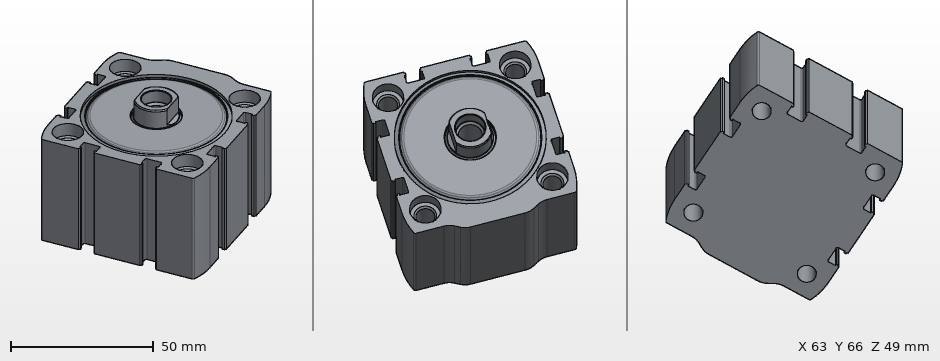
import cadquery as cq
import math

WIDTH = 63.0
HALF_WIDTH = WIDTH / 2
BODY_HEIGHT = 42.0

SIDE_FLAT_HALF = 22.2
CORNER_X = 29.6
CORNER_RADIUS = 0.8

BUMP_HEIGHT = 3.0
BUMP_FLAT_HALF = 9.95
BUMP_BEND_RADIUS = 7.0
BUMP_SLOPE = math.radians(30)

SLOT_OFFSET = 12.0
SLOT_MOUTH = 5.2
SLOT_INNER = 6.5
SLOT_DEPTH = 4.6
SLOT_LIP = 1.4
SLOT_LIP_RADIUS = 0.5
SLOT_INNER_RADIUS = 0.5

MOUNT_OFFSET = 23.2
MOUNT_DIAMETER = 6.65
MOUNT_SINK_DIAMETER = 8.0
MOUNT_BORE_DIAMETER = 11.0
MOUNT_BORE_DEPTH = 5.0

GROOVE_RADIUS = 53.3 / 2
GROOVE_DEPTH = 1.2
RING_TOP_RADIUS = 25.15
RING_TOP_DEPTH = 0.25
CAP_SEAM_RADIUS = 50.0 / 2
CAP_FOOT_RADIUS = 24.75
CAP_SEAM_DEPTH = 0.8
CAP_EDGE_RADIUS = 24.1
CAP_EDGE_DEPTH = 0.3
CAP_FLAT_RADIUS = 23.3

WIPER_RADIUS = 18.1 / 2
WIPER_CHAMFER = 0.1
WIPER_DEPTH = 1.05
WIPER_FOOT_RADIUS = 8.85
WIPER_TIP_RADIUS = 8.2
WIPER_TIP_DEPTH = 0.3

ROD_DIAMETER = 16.0
ROD_RADIUS = ROD_DIAMETER / 2
ROD_PROJECTION = 7.0
ROD_INSERTION = 29.7
ROD_TOP = BODY_HEIGHT + ROD_PROJECTION
ROD_BOTTOM = BODY_HEIGHT - ROD_INSERTION
ROD_CHAMFER_HEIGHT = 0.5
ROD_CHAMFER_WIDTH = 0.3

FLAT_HALF = 6.5
FLAT_LENGTH = 6.5
FLAT_LEDGE_SLOPE = math.radians(30)

SOCKET_MOUTH_DIAMETER = 11.0
SOCKET_DIAMETER = 10.5
SOCKET_SEAT_DIAMETER = 10.0
SOCKET_DEPTH = 4.75
THREAD_DIAMETER = 8.4
THREAD_DEPTH = 19.8
DRILL_TIP_SLOPE = math.radians(30)


def arc_radius(along, across):
    """Radius of an arc that leaves a line tangentially and ends at this distance along and across it."""
    return (along ** 2 + across ** 2) / (2 * across)


def block():
    """Extruded outline with bowed X sides and the raised pad on +Y."""
    side_radius = arc_radius(HALF_WIDTH - SIDE_FLAT_HALF, HALF_WIDTH - CORNER_X)
    bend_x = BUMP_BEND_RADIUS * math.sin(BUMP_SLOPE)
    bend_y = BUMP_BEND_RADIUS * (1 - math.cos(BUMP_SLOPE))
    ramp_x = (BUMP_HEIGHT - 2 * bend_y) / math.tan(BUMP_SLOPE)
    pad_y = HALF_WIDTH + BUMP_HEIGHT
    pad_foot = BUMP_FLAT_HALF + 2 * bend_x + ramp_x

    outline = (
        cq.Workplane("XY")
        .moveTo(CORNER_X, -HALF_WIDTH)
        .radiusArc((HALF_WIDTH, -SIDE_FLAT_HALF), -side_radius)
        .lineTo(HALF_WIDTH, SIDE_FLAT_HALF)
        .radiusArc((CORNER_X, HALF_WIDTH), -side_radius)
        .lineTo(pad_foot, HALF_WIDTH)
        .radiusArc((pad_foot - bend_x, HALF_WIDTH + bend_y), BUMP_BEND_RADIUS)
        .lineTo(BUMP_FLAT_HALF + bend_x, pad_y - bend_y)
        .radiusArc((BUMP_FLAT_HALF, pad_y), -BUMP_BEND_RADIUS)
        .lineTo(-BUMP_FLAT_HALF, pad_y)
        .radiusArc((-BUMP_FLAT_HALF - bend_x, pad_y - bend_y), -BUMP_BEND_RADIUS)
        .lineTo(bend_x - pad_foot, HALF_WIDTH + bend_y)
        .radiusArc((-pad_foot, HALF_WIDTH), BUMP_BEND_RADIUS)
        .lineTo(-CORNER_X, HALF_WIDTH)
        .radiusArc((-HALF_WIDTH, SIDE_FLAT_HALF), -side_radius)
        .lineTo(-HALF_WIDTH, -SIDE_FLAT_HALF)
        .radiusArc((-CORNER_X, -HALF_WIDTH), -side_radius)
        .close()
    )
    solid = outline.extrude(BODY_HEIGHT)
    for corner_x in (-CORNER_X, CORNER_X):
        for corner_y in (-HALF_WIDTH, HALF_WIDTH):
            corner = cq.selectors.NearestToPointSelector((corner_x, corner_y, BODY_HEIGHT / 2))
            solid = solid.edges(corner).fillet(CORNER_RADIUS)
    return solid


def slot_cutter():
    """T-slot opening on the -Y face, centred on X = 0."""
    mouth = SLOT_MOUTH / 2
    inner_y = SLOT_LIP - HALF_WIDTH
    flare_y = SLOT_LIP_RADIUS - HALF_WIDTH
    chamber = (
        cq.Workplane("XY")
        .center(0, inner_y + (SLOT_DEPTH - SLOT_LIP) / 2)
        .rect(SLOT_INNER, SLOT_DEPTH - SLOT_LIP)
        .extrude(BODY_HEIGHT)
        .edges("|Z and >Y")
        .fillet(SLOT_INNER_RADIUS)
    )
    throat = (
        cq.Workplane("XY")
        .moveTo(-mouth - SLOT_LIP_RADIUS, -HALF_WIDTH)
        .radiusArc((-mouth, flare_y), SLOT_LIP_RADIUS)
        .lineTo(-mouth, inner_y)
        .lineTo(mouth, inner_y)
        .lineTo(mouth, flare_y)
        .radiusArc((mouth + SLOT_LIP_RADIUS, -HALF_WIDTH), SLOT_LIP_RADIUS)
        .close()
        .extrude(BODY_HEIGHT)
    )
    return chamber.union(throat)


def cut_slots(solid):
    """Two slots on each of the -Y, -X and +X sides."""
    for turn in (-90, 0, 90):
        for offset in (-SLOT_OFFSET, SLOT_OFFSET):
            cutter = slot_cutter().translate((offset, 0, 0)).rotate((0, 0, 0), (0, 0, 1), turn)
            solid = solid.cut(cutter)
    return solid


def revolved(points):
    """Solid of revolution about Z from (radius, height) points."""
    return cq.Workplane("XZ").polyline(points).close().revolve(360, (0, 0, 0), (0, 1, 0))


def cut_mounting_holes(solid):
    """Counterbored through holes with a short countersink below the counterbore."""
    hole_r = MOUNT_DIAMETER / 2
    sink_r = MOUNT_SINK_DIAMETER / 2
    bore_r = MOUNT_BORE_DIAMETER / 2
    floor_z = BODY_HEIGHT - MOUNT_BORE_DEPTH
    cutter = revolved([
        (0, 0),
        (hole_r, 0),
        (hole_r, floor_z - (sink_r - hole_r)),
        (sink_r, floor_z),
        (bore_r, floor_z),
        (bore_r, BODY_HEIGHT),
        (0, BODY_HEIGHT),
    ])
    for x in (-MOUNT_OFFSET, MOUNT_OFFSET):
        for y in (-MOUNT_OFFSET, MOUNT_OFFSET):
            solid = solid.cut(cutter.translate((x, y, 0)))
    return solid


def cut_cap_groove(solid):
    """Ring groove: straight outer wall, conical ring, narrow seam and rounded cap edge."""
    edge_radius = arc_radius(CAP_EDGE_RADIUS - CAP_FLAT_RADIUS, CAP_EDGE_DEPTH)
    cutter = (
        cq.Workplane("XZ", origin=(0, 0, BODY_HEIGHT))
        .moveTo(GROOVE_RADIUS, 0)
        .lineTo(GROOVE_RADIUS, -GROOVE_DEPTH)
        .lineTo(RING_TOP_RADIUS, -RING_TOP_DEPTH)
        .lineTo(CAP_SEAM_RADIUS, -RING_TOP_DEPTH)
        .lineTo(CAP_SEAM_RADIUS, -CAP_SEAM_DEPTH)
        .lineTo(CAP_FOOT_RADIUS, -CAP_SEAM_DEPTH)
        .lineTo(CAP_EDGE_RADIUS, -CAP_EDGE_DEPTH)
        .radiusArc((CAP_FLAT_RADIUS, 0), -edge_radius)
        .close()
        .revolve(360, (0, 0, 0), (0, 1, 0))
    )
    return solid.cut(cutter)


def cut_rod_bore(solid):
    """Blind bore that holds the rod, with the wiper recess at its mouth."""
    bore = (
        cq.Workplane("XY", origin=(0, 0, ROD_BOTTOM))
        .circle(ROD_RADIUS)
        .extrude(ROD_INSERTION)
    )
    recess = revolved([
        (0, BODY_HEIGHT),
        (WIPER_RADIUS + WIPER_CHAMFER, BODY_HEIGHT),
        (WIPER_RADIUS, BODY_HEIGHT - WIPER_CHAMFER),
        (WIPER_RADIUS, BODY_HEIGHT - WIPER_DEPTH),
        (WIPER_FOOT_RADIUS, BODY_HEIGHT - WIPER_DEPTH),
        (WIPER_TIP_RADIUS, BODY_HEIGHT - WIPER_TIP_DEPTH),
        (0, BODY_HEIGHT - WIPER_TIP_DEPTH),
    ])
    return solid.cut(bore).cut(recess)


def make_housing():
    solid = block()
    solid = cut_slots(solid)
    solid = cut_mounting_holes(solid)
    solid = cut_cap_groove(solid)
    return cut_rod_bore(solid)


def flat_cutter():
    """Material removed on the +X side: wrench flat with a sloping ledge below it."""
    flat_bottom = ROD_TOP - FLAT_LENGTH
    ledge_drop = (ROD_RADIUS - FLAT_HALF) * math.tan(FLAT_LEDGE_SLOPE)
    return (
        cq.Workplane("XZ")
        .moveTo(FLAT_HALF, ROD_TOP)
        .lineTo(FLAT_HALF, flat_bottom)
        .lineTo(ROD_RADIUS, flat_bottom - ledge_drop)
        .lineTo(ROD_RADIUS, ROD_TOP)
        .close()
        .extrude(ROD_RADIUS, both=True)
    )


def socket_cutter():
    """Chamfered socket with a narrow floor, conical step, thread core hole and drill tip."""
    mouth_r = SOCKET_MOUTH_DIAMETER / 2
    socket_r = SOCKET_DIAMETER / 2
    seat_r = SOCKET_SEAT_DIAMETER / 2
    thread_r = THREAD_DIAMETER / 2
    thread_bottom = ROD_TOP - THREAD_DEPTH
    return revolved([
        (0, ROD_TOP),
        (mouth_r, ROD_TOP),
        (socket_r, ROD_TOP - (mouth_r - socket_r)),
        (socket_r, ROD_TOP - SOCKET_DEPTH),
        (seat_r, ROD_TOP - SOCKET_DEPTH),
        (thread_r, ROD_TOP - SOCKET_DEPTH - (seat_r - thread_r)),
        (thread_r, thread_bottom),
        (0, thread_bottom - thread_r * math.tan(DRILL_TIP_SLOPE)),
    ])


def make_rod():
    shaft = revolved([
        (0, ROD_BOTTOM),
        (ROD_RADIUS, ROD_BOTTOM),
        (ROD_RADIUS, ROD_TOP - ROD_CHAMFER_HEIGHT),
        (ROD_RADIUS - ROD_CHAMFER_WIDTH, ROD_TOP),
        (0, ROD_TOP),
    ])
    for turn in (0, 180):
        shaft = shaft.cut(flat_cutter().rotate((0, 0, 0), (0, 0, 1), turn))
    return shaft.cut(socket_cutter())


housing = make_housing()
piston_rod = make_rod()

result = cq.Compound.makeCompound([housing.val(), piston_rod.val()])